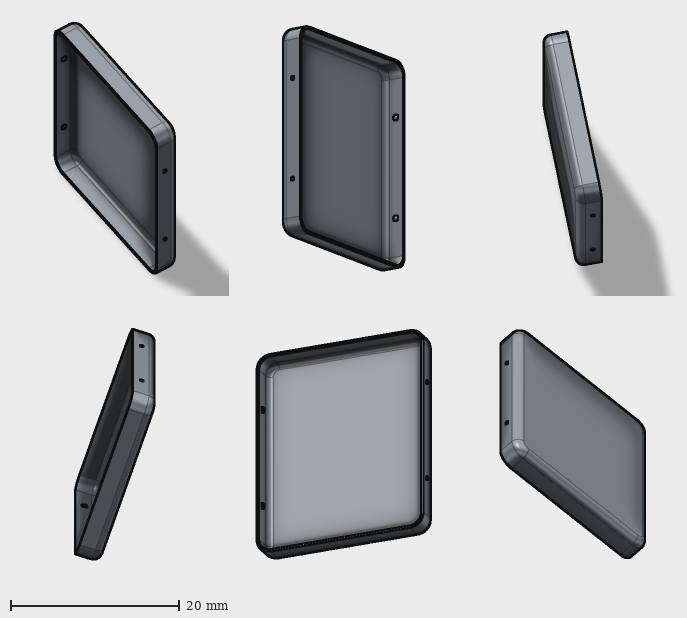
import cadquery as cq
import math

width = 21.6
depth = 3.0
height = 25.6
wall = 0.3
corner_radius = 1.8
back_edge_radius = 1.0

dimple_spacing = 12.45
dimple_from_rim = 1.1
bump_radius = 0.35
bump_rise = 0.18
dimple_radius = 0.23
dimple_depth = 0.1

rim_y = -depth / 2


def rounded_tray(inset):
    """Solid block inset from the outside, with round corners and a round back edge."""
    return (
        cq.Workplane("XZ", origin=(0, rim_y, 0))
        .rect(width - 2 * inset, height - 2 * inset)
        .extrude(-(depth - inset))
        .edges("|Y")
        .fillet(corner_radius - inset)
        .faces(">Y")
        .edges()
        .fillet(back_edge_radius - inset)
    )


def round_cap(base_radius, cap_height, sink):
    """Shallow dome rising along +X from x = 0, on a round foot reaching back to x = -sink."""
    dome_radius = (base_radius**2 + cap_height**2) / (2 * cap_height)
    half_angle = math.asin(base_radius / dome_radius) / 2
    arc_middle = (
        cap_height - dome_radius * (1 - math.cos(half_angle)),
        dome_radius * math.sin(half_angle),
    )
    return (
        cq.Workplane("XY")
        .moveTo(-sink, 0)
        .lineTo(-sink, base_radius)
        .lineTo(0, base_radius)
        .threePointArc(arc_middle, (cap_height, 0))
        .close()
        .revolve(360, (0, 0, 0), (1, 0, 0))
    )


outside = rounded_tray(0)
cavity = rounded_tray(wall)
result = outside.cut(cavity)

bump = round_cap(bump_radius, bump_rise, wall / 2)
dimple = round_cap(dimple_radius, dimple_depth, wall / 2)
dimple_y = rim_y + dimple_from_rim
for turn in (0, 180):
    for z in (-dimple_spacing / 2, dimple_spacing / 2):
        placed_bump = bump.translate((wall - width / 2, dimple_y, z))
        placed_dimple = dimple.translate((-width / 2, dimple_y, z))
        result = result.union(placed_bump.rotate((0, 0, 0), (0, 1, 0), turn))
        result = result.cut(placed_dimple.rotate((0, 0, 0), (0, 1, 0), turn))